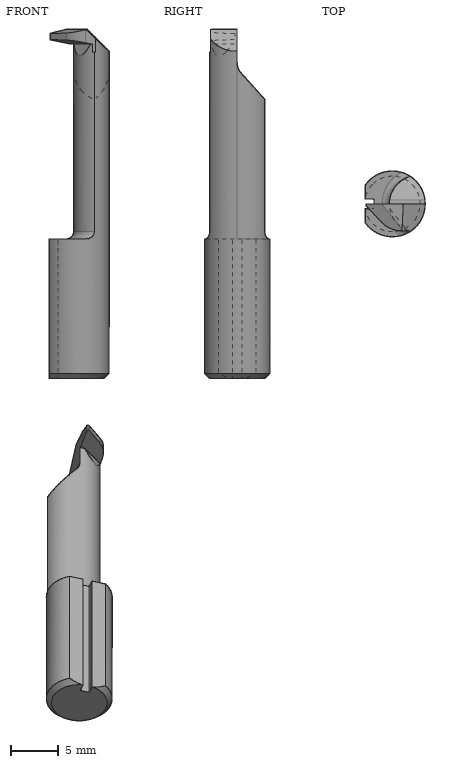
import cadquery as cq
import math


total_height = 37.0
shank_diameter = 7.0
shank_radius = shank_diameter / 2
shank_width = 6.35
shank_height = 14.8
shank_flat_x = shank_radius - shank_width
bottom_chamfer = 0.55
groove_width = 1.0
groove_depth = 0.92
groove_floor_fillet = 0.1

neck_radius = 3.05
neck_left_x = -0.3
neck_axis_x = neck_left_x + neck_radius
neck_top = 35.7
neck_fillet = 0.78
side_flat_y = -2.85
side_flat_bottom = 34.6

relief_corner_z = 32.8
relief_angle = 48.0
relief_fillet = 1.65

head_bottom = 35.45
tip_x = -2.77
tip_land = 0.22
flank_end = (-1.1, -1.95)
flank_curve_middle = (-0.15, -2.63)
flank_curve_end = (1.0, side_flat_y)
outward_angle = 218.5
ridge_outward = 0.85
lip_outward = 2.22
lip_top = 36.55
lip_bottom = 35.88
underside_slope = 0.27
notch_bottom = 34.18
notch_slope = 0.28
top_bevel = 2.33
bevel_twist = -2.7

margin = 3.7


def make_shank():
    shank = cq.Workplane("XY").circle(shank_radius).extrude(shank_height)
    return shank.faces("<Z").chamfer(bottom_chamfer)


def cut_shank_flat_and_groove(body):
    flat_width = 2 * shank_radius + margin
    flat = cq.Workplane("XY").box(margin, flat_width, shank_height, centered=(False, True, False))
    flat = flat.translate((shank_flat_x - margin, 0, 0))
    groove = cq.Workplane("XY").box(groove_depth, groove_width, shank_height, centered=(False, True, False))
    groove = groove.edges("|Z and >X").fillet(groove_floor_fillet)
    return body.cut(flat).cut(groove.translate((shank_flat_x, 0, 0)))


def make_neck():
    """Eccentric neck with a flared foot and a small flat beside the head."""
    arc_offset = neck_fillet * (1 - math.sqrt(0.5))
    foot_radius = neck_radius + neck_fillet
    neck = (
        cq.Workplane("XZ")
        .moveTo(0, shank_height)
        .lineTo(foot_radius, shank_height)
        .threePointArc(
            (neck_radius + arc_offset, shank_height + arc_offset),
            (neck_radius, shank_height + neck_fillet),
        )
        .lineTo(neck_radius, neck_top)
        .lineTo(0, neck_top)
        .close()
        .revolve(360, (0, 0, 0), (0, 1, 0))
        .translate((neck_axis_x, 0, 0))
    )
    side_flat = cq.Workplane("XY").box(4 * margin, margin, margin, centered=(True, False, False))
    side_flat = side_flat.translate((0, side_flat_y - margin, side_flat_bottom))
    return neck.cut(side_flat)


def outward_prism(points):
    """Extrude an (outward distance, z) outline along the hook's flank."""
    angle = math.radians(outward_angle)
    outward = (math.cos(angle), math.sin(angle), 0)
    along_flank = (math.sin(angle), -math.cos(angle), 0)
    plane = cq.Plane(origin=(0, 0, 0), xDir=outward, normal=along_flank)
    return cq.Workplane(plane).polyline(points).close().extrude(3 * shank_radius, both=True)


def cut_notch(neck):
    """Sloping facet that clears the neck below the hook."""
    angle = math.radians(outward_angle)
    neck_outward = neck_axis_x * math.cos(angle) + neck_radius
    notch_depth = notch_slope * (neck_top - notch_bottom)
    notch = outward_prism([
        (neck_outward, notch_bottom),
        (neck_outward + margin, notch_bottom),
        (neck_outward + margin, neck_top),
        (neck_outward - notch_depth, neck_top),
    ])
    return neck.cut(notch)


def make_head():
    plan = (
        cq.Workplane("XY")
        .moveTo(shank_radius, margin)
        .lineTo(tip_x, margin)
        .lineTo(tip_x, -tip_land)
        .lineTo(*flank_end)
        .threePointArc(flank_curve_middle, flank_curve_end)
        .lineTo(shank_radius, side_flat_y)
        .close()
        .extrude(total_height)
    )
    top_slope = (total_height - lip_top) / (lip_outward - ridge_outward)
    underside_start = lip_outward - (lip_bottom - head_bottom) / underside_slope
    overrun = 0.37
    outer_end = lip_outward + overrun
    profile = outward_prism([
        (-2 * shank_radius, head_bottom),
        (underside_start, head_bottom),
        (outer_end, lip_bottom + overrun * underside_slope),
        (outer_end, lip_top - overrun * top_slope),
        (ridge_outward, total_height),
        (-2 * shank_radius, total_height),
    ])
    return plan.intersect(profile)


def cut_cutting_face(body):
    """Remove the +Y half above a rounded slope."""
    reach = shank_radius + margin
    slope_end = relief_corner_z - reach * math.tan(math.radians(relief_angle))
    relief = (
        cq.Workplane("YZ")
        .polyline([
            (0, relief_corner_z),
            (0, total_height + margin),
            (reach, total_height + margin),
            (reach, slope_end),
        ])
        .close()
        .extrude(reach, both=True)
        .edges(cq.selectors.NearestToPointSelector((0, 0, relief_corner_z)))
        .fillet(relief_fillet)
    )
    return body.cut(relief)


def cut_top_bevel(body):
    """45 degree bevel on the back of the head, turned slightly for clearance."""
    ridge_x = shank_radius - top_bevel
    bevel = (
        cq.Workplane("XZ")
        .polyline([
            (0, total_height),
            (2 * margin, total_height),
            (2 * margin, total_height - 2 * margin),
        ])
        .close()
        .extrude(2 * margin, both=True)
        .rotate((0, 0, 0), (0, 0, 1), bevel_twist)
        .translate((ridge_x, 0, 0))
    )
    return body.cut(bevel)


def trim_to_shank_outline(body):
    outline = cq.Workplane("XY").circle(shank_radius).extrude(total_height)
    return body.intersect(outline)


shank = cut_shank_flat_and_groove(make_shank())
blade = cut_notch(make_neck()).union(make_head())
blade = cut_top_bevel(cut_cutting_face(blade))
result = shank.union(trim_to_shank_outline(blade))